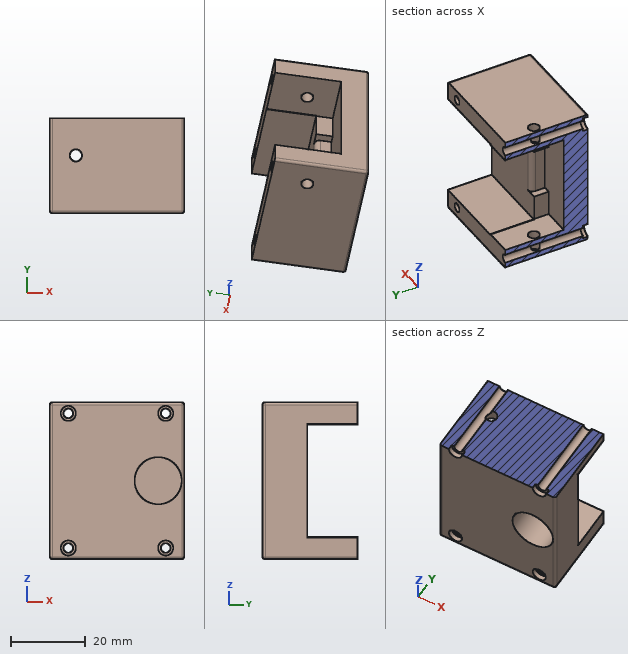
import cadquery as cq

width = 36.0
depth = 25.5
height = 42.0
edge_radius = 0.7

arm_thickness = 6.0
plate_thickness = 7.5
channel_height = height - 2 * arm_thickness

relief_start_x = -5.0
relief_depth = 0.25

pad_back_y = 12.0
pad_start_x = relief_start_x
notch_height = 15.0
notch_width = 2.0
notch_radius = 1.45

pocket_diameter = 12.6
pocket_depth = 10.5
pocket_x = 11.0

screw_spacing_x = 26.05
screw_spacing_z = 36.0
screw_diameter = 2.5
counterbore_diameter = 4.05
counterbore_depth = 1.5

pin_diameter = 3.2
pin_x = -11.0
pin_y = depth - 10.0


def box_between(x_range, y_range, z_height):
    """Box spanning the given X and Y ranges, centred on Z = 0."""
    x0, x1 = x_range
    y0, y1 = y_range
    box = cq.Workplane("XY").box(x1 - x0, y1 - y0, z_height, centered=(False, False, True))
    return box.translate((x0, y0, 0))


def front_cylinder(x, z, diameter, length):
    """Cylinder running from the front face toward +Y."""
    base = cq.Vector(x, 0, z)
    return cq.Workplane(cq.Solid.makeCylinder(diameter / 2, length, base, cq.Vector(0, 1, 0)))


def make_block():
    """Outer block, rounded everywhere except around the open back."""
    block = box_between((-width / 2, width / 2), (0, depth), height)
    return block.edges("|Y or <Y").fillet(edge_radius)


def make_channel():
    """Channel between the arms, slightly taller beyond the relief step."""
    y_range = (plate_thickness, depth)
    main = box_between((-width / 2, width / 2), y_range, channel_height)
    relief_height = channel_height + 2 * relief_depth
    relief = box_between((relief_start_x, width / 2), y_range, relief_height)
    return main.union(relief)


def make_pad():
    """Pad with a notched side whose back edge is rounded."""
    notch_floor_x = pad_start_x + notch_width
    y_range = (plate_thickness, pad_back_y)
    core = box_between((notch_floor_x, width / 2), y_range, notch_height)
    core = core.edges("|Z and <X and >Y").fillet(notch_radius)
    pad_height = channel_height + 2 * relief_depth
    pad = box_between((pad_start_x, width / 2), y_range, pad_height)
    notched_band = box_between((pad_start_x, width / 2), y_range, notch_height)
    return pad.cut(notched_band).union(core)


def trim_pad():
    """Pad trimmed to the rounded outline of the block."""
    return make_pad().intersect(make_block())


result = make_block().cut(make_channel()).union(trim_pad())

result = result.cut(front_cylinder(pocket_x, 0, pocket_diameter, pocket_depth))

for x_side in (-1, 1):
    for z_side in (-1, 1):
        screw_x = x_side * screw_spacing_x / 2
        screw_z = z_side * screw_spacing_z / 2
        result = result.cut(front_cylinder(screw_x, screw_z, screw_diameter, depth))
        result = result.cut(front_cylinder(screw_x, screw_z, counterbore_diameter, counterbore_depth))

pin_hole = cq.Workplane("XY").center(pin_x, pin_y).circle(pin_diameter / 2).extrude(height / 2, both=True)
result = result.cut(pin_hole)